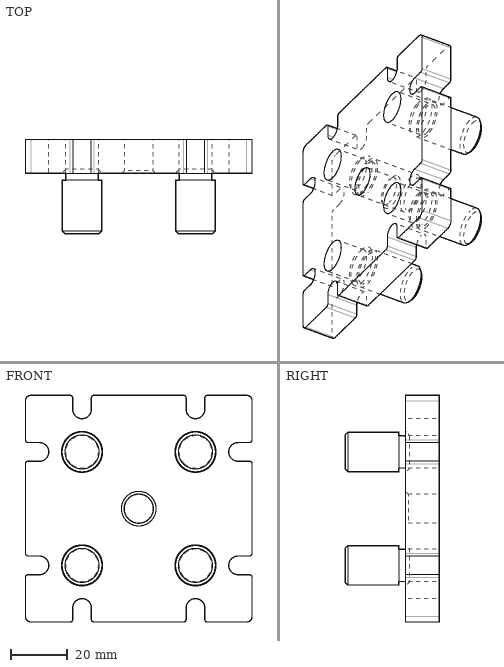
import cadquery as cq

plate_side = 80.0
plate_thickness = 12.0
corner_radius = 2.0

feature_pitch = 40.0
feature_offset = feature_pitch / 2

notch_width = 6.5
notch_straight_depth = 5.0
notch_depth = notch_straight_depth + notch_width / 2
notch_mouth_radius = 1.0

center_hole_diameter = 10.2
center_countersink_diameter = 12.2

head_diameter = 14.0
head_chamfer = 1.0
neck_diameter = 11.5
neck_gap = 2.3
pin_projection = 21.3
pin_hole_countersink_diameter = 14.5

pin_positions = [
    (x, z)
    for x in (-feature_offset, feature_offset)
    for z in (-feature_offset, feature_offset)
]


def disc(x, z, y_start, y_end, diameter):
    """Cylinder along Y between two Y positions, centred at (x, z)."""
    axis_start = cq.Vector(x, y_start, z)
    return cq.Solid.makeCylinder(diameter / 2, y_end - y_start, axis_start, cq.Vector(0, 1, 0))


def countersunk_hole(x, z, hole_diameter, countersink_diameter):
    """Cutter for a through hole with a 45 degree countersink at the front face."""
    countersink_depth = (countersink_diameter - hole_diameter) / 2
    cone = cq.Solid.makeCone(
        countersink_diameter / 2,
        hole_diameter / 2,
        countersink_depth,
        cq.Vector(x, 0, z),
        cq.Vector(0, 1, 0),
    )
    return disc(x, z, 0, plate_thickness, hole_diameter).fuse(cone)


def notch_cutter(offset):
    """Cutter for one notch in the top edge, with rounded mouth corners."""
    half_width = notch_width / 2
    edge = plate_side / 2
    arc_start = edge - notch_straight_depth
    mouth_half_width = half_width + notch_mouth_radius
    mouth_end = edge - notch_mouth_radius
    return (
        cq.Workplane("XZ")
        .moveTo(offset - mouth_half_width, edge)
        .radiusArc((offset - half_width, mouth_end), notch_mouth_radius)
        .lineTo(offset - half_width, arc_start)
        .threePointArc((offset, edge - notch_depth), (offset + half_width, arc_start))
        .lineTo(offset + half_width, mouth_end)
        .radiusArc((offset + mouth_half_width, edge), notch_mouth_radius)
        .close()
        .extrude(-plate_thickness)
    )


def make_plate():
    """Square plate with rounded corners, eight edge notches and five holes."""
    plate = (
        cq.Workplane("XZ")
        .rect(plate_side, plate_side)
        .extrude(-plate_thickness)
        .edges("|Y")
        .fillet(corner_radius)
    )
    for side_angle in (0, 90, 180, 270):
        for offset in (-feature_offset, feature_offset):
            notch = notch_cutter(offset).rotate((0, 0, 0), (0, 1, 0), side_angle)
            plate = plate.cut(notch)
    plate = plate.cut(countersunk_hole(0, 0, center_hole_diameter, center_countersink_diameter))
    for x, z in pin_positions:
        plate = plate.cut(countersunk_hole(x, z, neck_diameter, pin_hole_countersink_diameter))
    return plate


def make_pin(x, z):
    """Stepped pin whose neck fills its plate hole, flush with the back face."""
    head = (
        cq.Workplane(obj=disc(x, z, -pin_projection, -neck_gap, head_diameter))
        .faces("<Y")
        .chamfer(head_chamfer)
    )
    return head.union(cq.Workplane(obj=disc(x, z, -neck_gap, plate_thickness, neck_diameter)))


plate = make_plate()
pins = [make_pin(x, z) for x, z in pin_positions]

result = cq.Compound.makeCompound([plate.val(), *[pin.val() for pin in pins]])